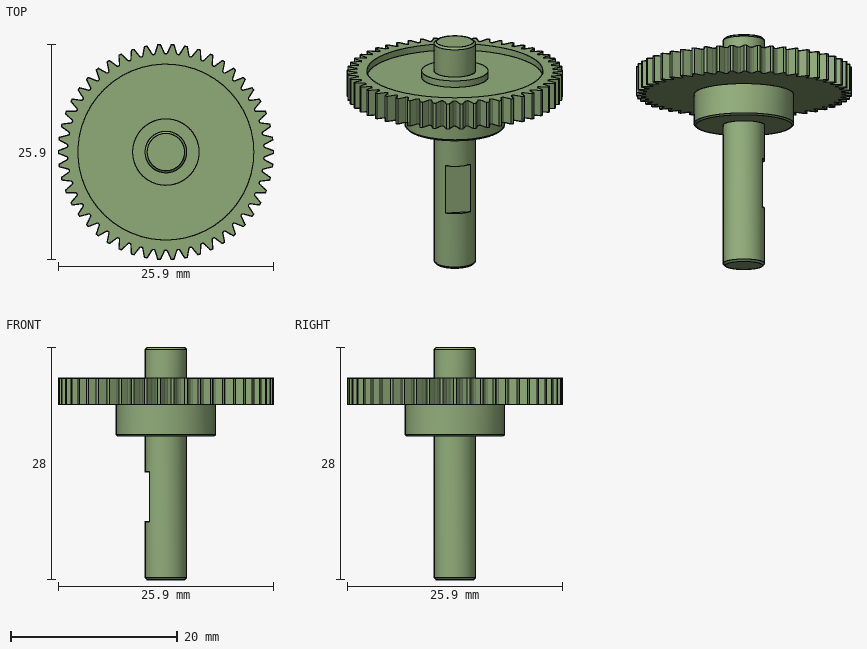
import cadquery as cq
import math


shaft_length = 28.0
shaft_diameter = 5.0
shaft_chamfer = 0.25

flat_bottom = 7.0
flat_length = 6.0
flat_depth = 0.5

tooth_count = 50
tip_radius = 12.95
root_radius = 11.85
tip_width = 0.35
root_gap_width = 0.28
root_fillet = 0.15
gear_thickness = 3.2
shaft_above_gear = 3.7
gear_top = shaft_length - shaft_above_gear
gear_bottom = gear_top - gear_thickness

recess_diameter = 21.2
boss_diameter = 8.0
recess_depth = 0.8

collar_diameter = 12.0
collar_height = 3.8
collar_chamfer = 0.2


def polar_point(radius, angle):
    return (radius * math.cos(angle), radius * math.sin(angle))


def make_shaft():
    shaft = cq.Workplane("XY").circle(shaft_diameter / 2).extrude(shaft_length)
    return shaft.faces("<Z or >Z").chamfer(shaft_chamfer)


def make_flat_cutter():
    cutter = cq.Workplane("XY").box(
        shaft_diameter, shaft_diameter, flat_length, centered=(False, True, False)
    )
    flat_x = flat_depth - shaft_diameter / 2
    return cutter.translate((flat_x - shaft_diameter, 0, flat_bottom))


def is_root_corner(edge):
    center = edge.Center()
    return math.hypot(center.x, center.y) < (root_radius + tip_radius) / 2


def make_gear_blank():
    pitch_angle = 2 * math.pi / tooth_count
    half_tip_angle = math.asin(tip_width / 2 / tip_radius)
    half_gap_angle = math.asin(root_gap_width / 2 / root_radius)

    outline = cq.Workplane("XY", origin=(0, 0, gear_bottom))
    outline = outline.moveTo(*polar_point(tip_radius, -half_tip_angle))
    for tooth in range(tooth_count):
        tooth_angle = tooth * pitch_angle
        gap_angle = tooth_angle + pitch_angle / 2
        next_tip_start = tooth_angle + pitch_angle - half_tip_angle
        outline = outline.threePointArc(
            polar_point(tip_radius, tooth_angle),
            polar_point(tip_radius, tooth_angle + half_tip_angle),
        )
        outline = outline.lineTo(*polar_point(root_radius, gap_angle - half_gap_angle))
        outline = outline.lineTo(*polar_point(root_radius, gap_angle + half_gap_angle))
        if tooth < tooth_count - 1:
            outline = outline.lineTo(*polar_point(tip_radius, next_tip_start))
    blank = outline.close().extrude(gear_thickness)
    return blank.edges("|Z").filter(is_root_corner).fillet(root_fillet)


def make_recess_cutter():
    floor = cq.Workplane("XY", origin=(0, 0, gear_top - recess_depth))
    return floor.circle(recess_diameter / 2).circle(boss_diameter / 2).extrude(recess_depth)


def make_collar():
    collar = cq.Workplane("XY", origin=(0, 0, gear_bottom - collar_height))
    collar = collar.circle(collar_diameter / 2).extrude(collar_height)
    return collar.faces("<Z").chamfer(collar_chamfer)


shaft = make_shaft().cut(make_flat_cutter())
gear = make_gear_blank().cut(make_recess_cutter())
result = shaft.union(gear).union(make_collar())